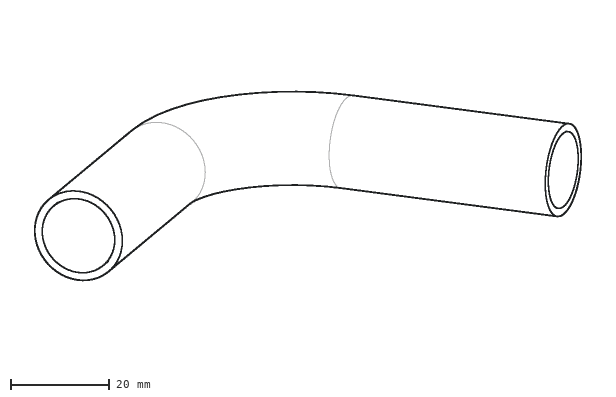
import cadquery as cq
import math

outer_diameter = 19.05
inner_diameter = 15.75
bend_radius = 1.5 * outer_diameter
leg_length = 2.5 * outer_diameter
bend_angle = 92.0


def bend_point(angle):
    """Centreline point after turning by the given angle (degrees) around the bend."""
    turned = math.radians(angle)
    x = bend_radius * (1 - math.cos(turned))
    y = leg_length + bend_radius * math.sin(turned)
    return (x, y)


def tube_centreline():
    """Path from the open end at the origin, along +Y, round the bend and out toward +X."""
    bend_end_x, bend_end_y = bend_point(bend_angle)
    heading = math.radians(bend_angle)
    far_end = (
        bend_end_x + leg_length * math.sin(heading),
        bend_end_y + leg_length * math.cos(heading),
    )
    return (
        cq.Workplane("XY")
        .lineTo(*bend_point(0))
        .threePointArc(bend_point(bend_angle / 2), bend_point(bend_angle))
        .lineTo(*far_end)
    )


def bent_rod(diameter):
    """Solid round bar that follows the tube centreline."""
    return cq.Workplane("XZ").circle(diameter / 2).sweep(tube_centreline())


result = bent_rod(outer_diameter).cut(bent_rod(inner_diameter))